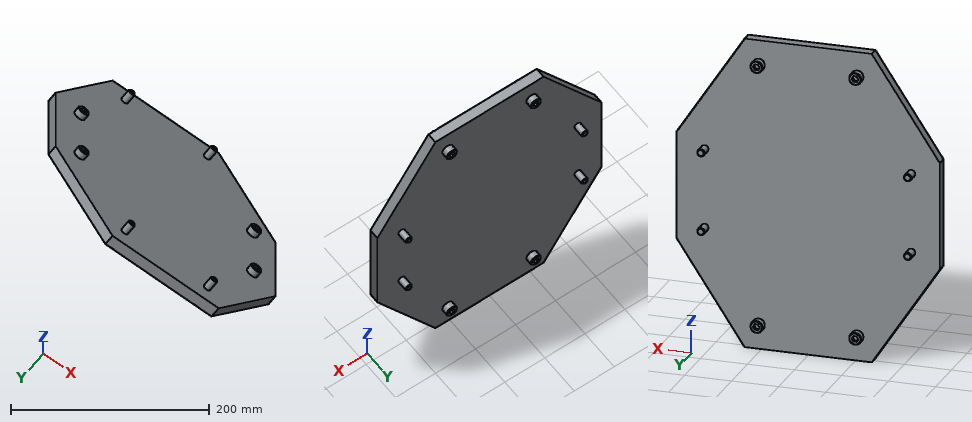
import cadquery as cq
import math

plate_width = 280.0
plate_height = 333.0
plate_thickness = 12.0
end_edge_length = 135.2
side_edge_length = 115.0

shank_diameter = 8.0
shank_projection = 13.0
shank_chamfer = 0.83
head_diameter = 13.0
head_height = 8.0
head_chamfer = 0.5
socket_across_flats = 6.0
socket_across_corners = socket_across_flats / math.cos(math.radians(30))
socket_depth = 4.0

side_screw_spacing_x = 219.8
side_screw_spacing_z = 85.0
end_screw_spacing_x = 105.0
end_screw_spacing_z = 280.5


def make_plate():
    """Rectangle with its four corners cut off to leave an octagon."""
    half_width = plate_width / 2
    half_height = plate_height / 2
    half_end = end_edge_length / 2
    half_side = side_edge_length / 2
    outline = [
        (half_end, half_height),
        (half_width, half_side),
        (half_width, -half_side),
        (half_end, -half_height),
        (-half_end, -half_height),
        (-half_width, -half_side),
        (-half_width, half_side),
        (-half_end, half_height),
    ]
    return cq.Workplane("XZ").polyline(outline).close().extrude(plate_thickness / 2, both=True)


def make_screw():
    """Screw along Y through the plate, with its head on the -Y face."""
    front_face = -plate_thickness / 2
    shank_length = plate_thickness + shank_projection
    shank = (
        cq.Workplane("XZ", origin=(0, front_face, 0))
        .circle(shank_diameter / 2)
        .extrude(-shank_length)
        .faces(">Y")
        .chamfer(shank_chamfer)
    )
    head = (
        cq.Workplane("XZ", origin=(0, front_face, 0))
        .circle(head_diameter / 2)
        .extrude(head_height)
        .faces("<Y")
        .chamfer(head_chamfer)
    )
    socket = (
        cq.Workplane("XZ", origin=(0, front_face - head_height, 0))
        .polygon(6, socket_across_corners)
        .extrude(-socket_depth)
    )
    return head.cut(socket).union(shank)


def add_screws(body, screw, spacing_x, spacing_z):
    """Join a screw at each corner of a centred rectangle."""
    for x in (-spacing_x / 2, spacing_x / 2):
        for z in (-spacing_z / 2, spacing_z / 2):
            body = body.union(screw.translate((x, 0, z)))
    return body


side_screw = make_screw()
end_screw = side_screw.rotate((0, 0, 0), (0, 0, 1), 180)

result = make_plate()
result = add_screws(result, side_screw, side_screw_spacing_x, side_screw_spacing_z)
result = add_screws(result, end_screw, end_screw_spacing_x, end_screw_spacing_z)